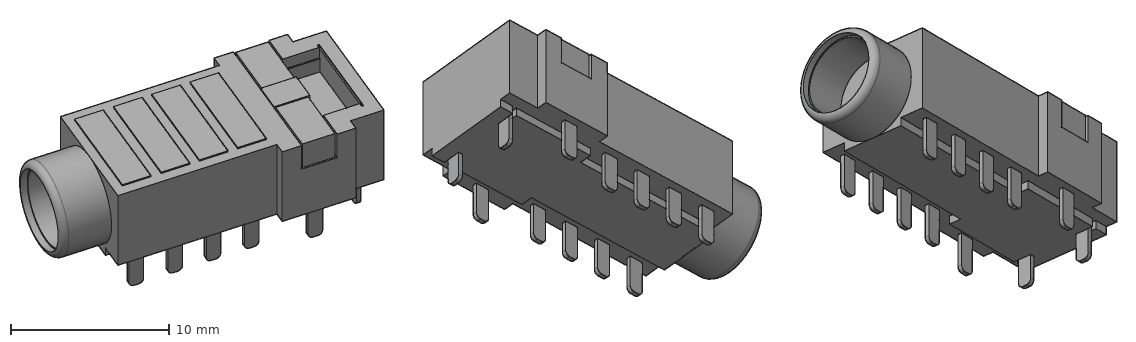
import cadquery as cq

TOTAL_LENGTH = 22.2
TOTAL_HEIGHT = 8.7

NOSE_DIA = 6.5
NOSE_LENGTH = 3.5
BODY_LENGTH = TOTAL_LENGTH - NOSE_LENGTH
BODY_WIDTH = 8.35
BODY_HEIGHT = 5.9
BODY_TOP = NOSE_DIA / 2
BODY_BOTTOM = BODY_TOP - BODY_HEIGHT

BLOCK_WIDTH = 9.9
BLOCK_FRONT = 11.17
BLOCK_BACK = 16.35

STANDOFF_BOTTOM = -NOSE_DIA / 2
STANDOFF_FRONT_WIDTH = 4.75
STANDOFF_BACK_WIDTH = 6.6

MOUTH_DIA = 5.5
NOSE_ROUND = (NOSE_DIA - MOUTH_DIA) / 2
MOUTH_DEPTH = 0.49
BORE_DIA = 5.3
BORE_DEPTH = NOSE_LENGTH

RAISE = 0.1
PAD_WIDTH = 6.93
PAD_LENGTH = 2.02
PAD_CENTERS = (1.66, 4.4, 7.08, 9.77)

NOTCH_FRONT = 12.52
NOTCH_BACK = 15.03
NOTCH_DEPTH = 2.0
CLIP_GAP = 0.1
CLIP_TAB_WIDTH = 1.95

POCKET_BACK = 17.6
POCKET_TOP_WIDTH = 5.93
POCKET_WIDTH = 5.73
POCKET_LEDGE_DEPTH = 0.89
LIP_WIDTH = 6.4
LIP_LENGTH = 0.1
LIP_DEPTH = 0.09

PIN_WIDTH = 1.02
PIN_THICKNESS = 0.3
PIN_ROUND = 0.35
PIN_BOTTOM = BODY_TOP + RAISE - TOTAL_HEIGHT
SIDE_PIN_CENTERS = (1.58, 4.3, 7.0, 9.68)
SIDE_PIN_X = STANDOFF_BACK_WIDTH / 2 + PIN_THICKNESS / 2
BLOCK_PIN_X = 4.26
BLOCK_PIN_Y = 13.76
REAR_PIN_X = 2.42
REAR_PIN_Y = 17.52


def box(width, y_front, y_back, z_bottom, z_top, x_center=0):
    """Box centred on x_center that spans the given Y and Z ranges."""
    height = z_top - z_bottom
    base = cq.Workplane("XY").box(width, y_back - y_front, height, centered=(True, False, False))
    return base.translate((x_center, y_front, z_bottom))


def pin(x, y, width_x, width_y, flat_axis):
    """Pin hanging from the body, its tip rounded about flat_axis."""
    blade = box(width_x, y - width_y / 2, y + width_y / 2, PIN_BOTTOM, BODY_BOTTOM, x)
    return blade.faces("<Z").edges("|" + flat_axis).fillet(PIN_ROUND)


def nose_cylinder(diameter, length):
    """Cylinder on the jack axis, running back from the nose tip."""
    disc = cq.Workplane("XZ", origin=(0, -NOSE_LENGTH, 0)).circle(diameter / 2)
    return disc.extrude(-length)


result = box(BODY_WIDTH, 0, BODY_LENGTH, BODY_BOTTOM, BODY_TOP)
result = result.union(box(BLOCK_WIDTH, BLOCK_FRONT, BLOCK_BACK, BODY_BOTTOM, BODY_TOP))
result = result.union(box(STANDOFF_FRONT_WIDTH, 0, BODY_LENGTH, STANDOFF_BOTTOM, BODY_BOTTOM))
result = result.union(
    box(STANDOFF_BACK_WIDTH, BLOCK_FRONT, BODY_LENGTH, STANDOFF_BOTTOM, BODY_BOTTOM)
)

nose = nose_cylinder(NOSE_DIA, NOSE_LENGTH).faces("<Y").edges().fillet(NOSE_ROUND)
result = result.union(nose)
result = result.cut(nose_cylinder(BORE_DIA, BORE_DEPTH))
result = result.cut(nose_cylinder(MOUTH_DIA, MOUTH_DEPTH))

floor = BODY_TOP - NOTCH_DEPTH
ledge = BODY_TOP - POCKET_LEDGE_DEPTH
pocket_lip = POCKET_BACK + LIP_LENGTH
result = result.cut(box(BLOCK_WIDTH, NOTCH_FRONT, NOTCH_BACK, floor, BODY_TOP))
result = result.cut(box(POCKET_WIDTH, NOTCH_BACK, POCKET_BACK, floor, BODY_TOP))
result = result.cut(box(POCKET_TOP_WIDTH, NOTCH_BACK, POCKET_BACK, ledge, BODY_TOP))
result = result.cut(box(LIP_WIDTH, POCKET_BACK, pocket_lip, BODY_TOP - LIP_DEPTH, BODY_TOP))

clip_width = BLOCK_WIDTH - 2 * CLIP_GAP
clip = box(clip_width, NOTCH_FRONT + CLIP_GAP, NOTCH_BACK - CLIP_GAP, floor, BODY_TOP)
tab = box(CLIP_TAB_WIDTH, NOTCH_FRONT, NOTCH_BACK, floor, BODY_TOP + RAISE)
result = result.union(clip).union(tab)

for y in PAD_CENTERS:
    pad = box(PAD_WIDTH, y - PAD_LENGTH / 2, y + PAD_LENGTH / 2, BODY_TOP, BODY_TOP + RAISE)
    result = result.union(pad)

slot_width = STANDOFF_BACK_WIDTH / 2 - REAR_PIN_X + PIN_WIDTH / 2
slot_x = (STANDOFF_BACK_WIDTH - slot_width) / 2
slot_front = REAR_PIN_Y - PIN_THICKNESS / 2
slot_back = REAR_PIN_Y + PIN_THICKNESS / 2

for side in (-1, 1):
    for y in SIDE_PIN_CENTERS:
        result = result.union(pin(side * SIDE_PIN_X, y, PIN_THICKNESS, PIN_WIDTH, "X"))
    result = result.union(pin(side * BLOCK_PIN_X, BLOCK_PIN_Y, PIN_THICKNESS, PIN_WIDTH, "X"))

    slot = box(slot_width, slot_front, slot_back, STANDOFF_BOTTOM, BODY_BOTTOM, side * slot_x)
    result = result.cut(slot)
    result = result.union(pin(side * REAR_PIN_X, REAR_PIN_Y, PIN_WIDTH, PIN_THICKNESS, "Y"))